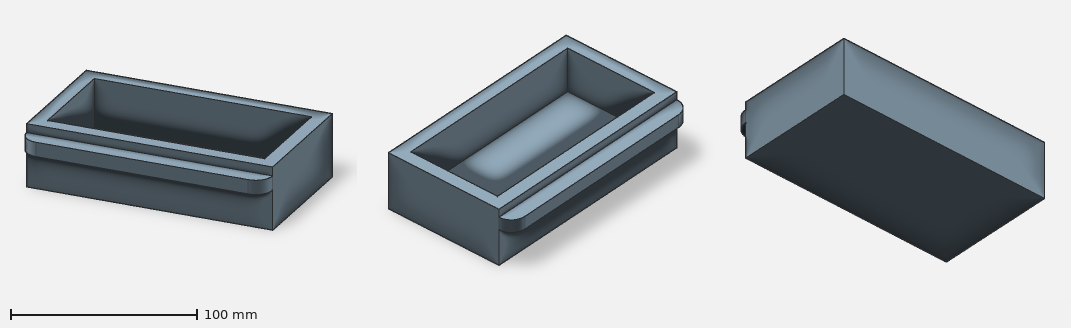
import cadquery as cq

length = 144.5
overall_width = 89.0
height = 37.0
wall = 8.5
floor = 8.4

ledge_depth = 10.0
ledge_thickness = 8.4
ledge_drop = 5.2

box_width = overall_width - ledge_depth
ledge_bottom = height - ledge_drop - ledge_thickness


def make_box():
    """Rectangular box with a pocket open at the top."""
    outer = cq.Workplane("XY").box(length, box_width, height, centered=(True, False, False))
    pocket = (
        cq.Workplane("XY", origin=(0, wall, floor))
        .box(length - 2 * wall, box_width - 2 * wall, height - floor, centered=(True, False, False))
    )
    return outer.cut(pocket)


def make_ledge():
    """Strip in front of the box, ending in a quarter circle at each side."""
    half_length = length / 2
    straight_end = half_length - ledge_depth
    arc_offset = ledge_depth * 0.5 ** 0.5
    return (
        cq.Workplane("XY", origin=(0, 0, ledge_bottom))
        .moveTo(-half_length, 0)
        .threePointArc((-straight_end - arc_offset, -arc_offset), (-straight_end, -ledge_depth))
        .lineTo(straight_end, -ledge_depth)
        .threePointArc((straight_end + arc_offset, -arc_offset), (half_length, 0))
        .close()
        .extrude(ledge_thickness)
    )


result = make_box().union(make_ledge())